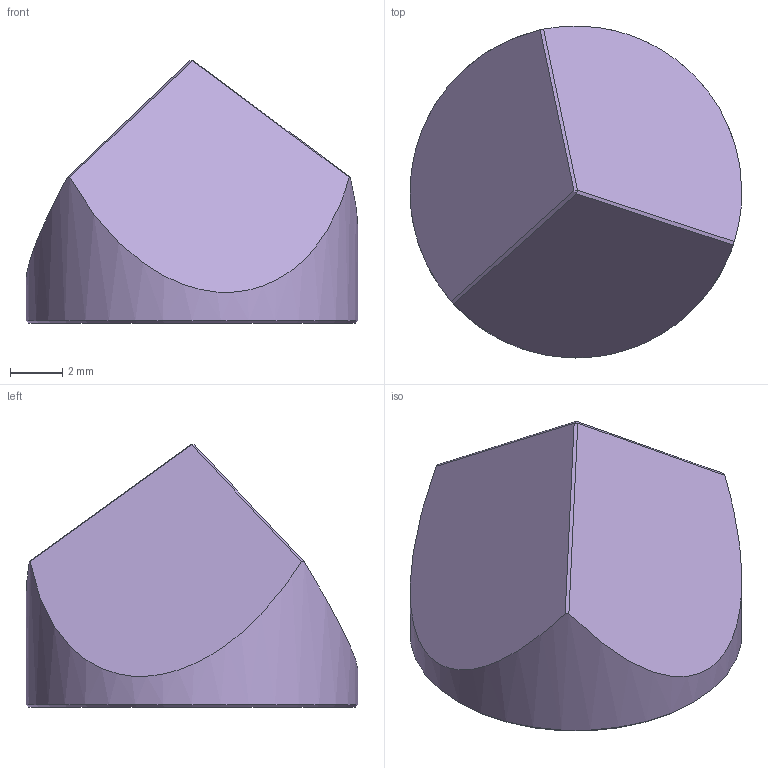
import cadquery as cq
import math

diameter = 12.7
sharp_height = 10.16
roof_chamfer = 0.1
base_chamfer = 0.1
first_edge_angle = -18.1
edge_count = 3

radius = diameter / 2
edge_spacing = 360 / edge_count
edge_slope = math.atan(1 / math.sqrt(2))
face_slope = math.atan(math.sqrt(2))

flat_depth = roof_chamfer / math.sqrt(2)
flat_apex_height = sharp_height - flat_depth / math.cos(edge_slope)

tip_depth = 2 * roof_chamfer / math.sqrt(3)
overall_height = sharp_height - tip_depth

waste_size = 4 * diameter


def cut_above_slope(body, apex_height, slope, direction):
    """Remove everything above a plane that crosses the axis and falls toward a direction about Z."""
    waste = (
        cq.Workplane("XY")
        .box(waste_size, waste_size, waste_size, centered=(True, True, False))
        .rotate((0, 0, 0), (0, 1, 0), math.degrees(slope))
        .rotate((0, 0, 0), (0, 0, 1), direction)
        .translate((0, 0, apex_height))
    )
    return body.cut(waste)


result = (
    cq.Workplane("XY")
    .circle(radius)
    .extrude(overall_height)
    .faces("<Z")
    .chamfer(base_chamfer)
)

for index in range(edge_count):
    face_direction = first_edge_angle + (index + 0.5) * edge_spacing
    result = cut_above_slope(result, sharp_height, face_slope, face_direction)

for index in range(edge_count):
    edge_direction = first_edge_angle + index * edge_spacing
    result = cut_above_slope(result, flat_apex_height, edge_slope, edge_direction)